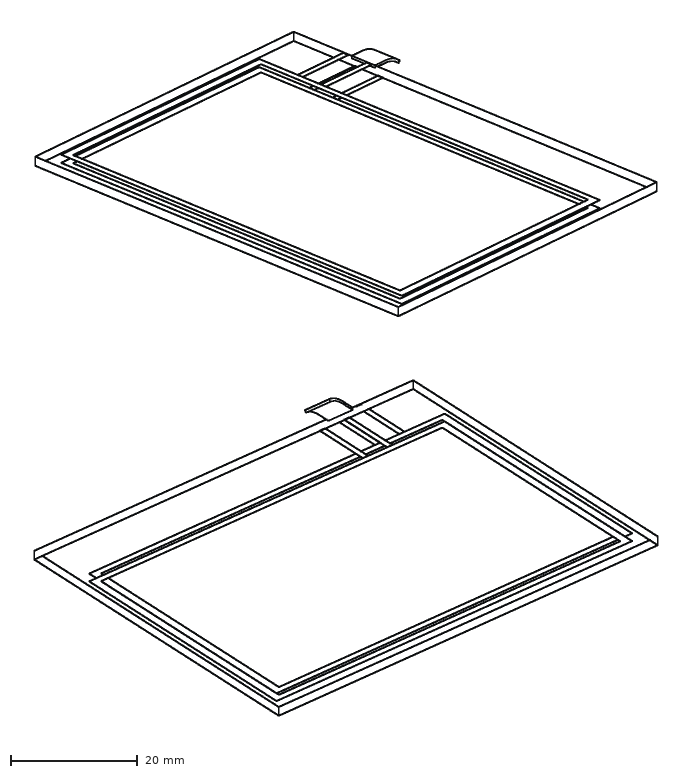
import cadquery as cq
import math

WALL_LENGTH = 78.0
WALL_DEPTH = 60.0
WALL_HEIGHT = 1.6
WALL_THICKNESS = 0.04

FOIL_THICKNESS = 0.04
FRAME_SIDE_GAP = 2.4
FRAME_FRONT_GAP = 3.4
FRAME_BACK_GAP = 10.6
SIDE_BAR_WIDTH = 1.5
CROSS_BAR_WIDTH = 1.2
LOWER_LEVEL = 0.1
UPPER_LEVEL = WALL_HEIGHT - LOWER_LEVEL - FOIL_THICKNESS

FRAME_LENGTH = WALL_LENGTH - 2 * FRAME_SIDE_GAP
FRAME_DEPTH = WALL_DEPTH - FRAME_FRONT_GAP - FRAME_BACK_GAP
FRAME_BACK = FRAME_FRONT_GAP + FRAME_DEPTH

LEAD_COUNT = 4
LEAD_WIDTH = 1.1
LEAD_PITCH = 2.5
FIRST_LEAD_CENTER = 11.2
LEAD_LENGTH = WALL_DEPTH - WALL_THICKNESS - FRAME_BACK

TAIL_LEFT = 12.5
TAIL_WIDTH = 5.0
TAIL_THICKNESS = 0.5
TAIL_FLAT_LENGTH = 2.4
TAIL_BEND_ANGLE = 41.0
OVERALL_DEPTH = 65.75
TAIL_REACH = OVERALL_DEPTH - WALL_DEPTH


def rectangular_ring(length, depth, height, side_width, cross_width):
    """Rectangular ring with its outer corner at the origin."""
    outer = cq.Workplane("XY").box(length, depth, height, centered=False)
    opening = (
        cq.Workplane("XY")
        .box(length - 2 * side_width, depth - 2 * cross_width, height, centered=False)
        .translate((side_width, cross_width, 0))
    )
    return outer.cut(opening)


def make_wall():
    return rectangular_ring(WALL_LENGTH, WALL_DEPTH, WALL_HEIGHT, WALL_THICKNESS, WALL_THICKNESS)


def make_frame(level):
    ring = rectangular_ring(FRAME_LENGTH, FRAME_DEPTH, FOIL_THICKNESS, SIDE_BAR_WIDTH, CROSS_BAR_WIDTH)
    return ring.translate((FRAME_SIDE_GAP, FRAME_FRONT_GAP, level))


def make_lead(center, level):
    lead = cq.Workplane("XY").box(LEAD_WIDTH, LEAD_LENGTH, FOIL_THICKNESS, centered=False)
    return lead.translate((center - LEAD_WIDTH / 2, FRAME_BACK, level))


def make_tail():
    """Flat strip followed by a concentric bend, ending square to the bend."""
    angle = math.radians(TAIL_BEND_ANGLE)
    outer_radius = (TAIL_REACH - TAIL_FLAT_LENGTH) / math.sin(angle)
    inner_radius = outer_radius - TAIL_THICKNESS
    bend_start = WALL_DEPTH + TAIL_FLAT_LENGTH
    bend_center = WALL_HEIGHT - outer_radius

    def on_bend(radius, turn):
        return (bend_start + radius * math.sin(turn), bend_center + radius * math.cos(turn))

    return (
        cq.Workplane("YZ", origin=(TAIL_LEFT, 0, 0))
        .moveTo(WALL_DEPTH, WALL_HEIGHT)
        .lineTo(bend_start, WALL_HEIGHT)
        .threePointArc(on_bend(outer_radius, angle / 2), on_bend(outer_radius, angle))
        .lineTo(*on_bend(inner_radius, angle))
        .threePointArc(on_bend(inner_radius, angle / 2), on_bend(inner_radius, 0))
        .lineTo(WALL_DEPTH, WALL_HEIGHT - TAIL_THICKNESS)
        .close()
        .extrude(TAIL_WIDTH)
    )


wall = make_wall()
upper_frame = make_frame(UPPER_LEVEL)
lower_frame = make_frame(LOWER_LEVEL)

leads = []
for index in range(LEAD_COUNT):
    lead_level = UPPER_LEVEL if index % 2 == 0 else LOWER_LEVEL
    leads.append(make_lead(FIRST_LEAD_CENTER + index * LEAD_PITCH, lead_level))

tail = make_tail()

result = cq.Compound.makeCompound(
    [wall.val(), upper_frame.val(), lower_frame.val(), *[lead.val() for lead in leads], tail.val()]
)